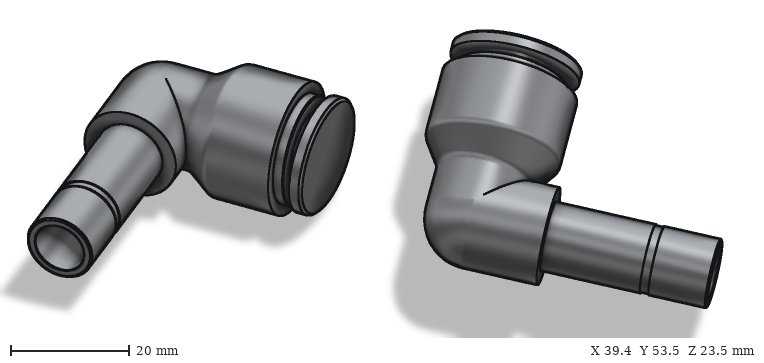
import cadquery as cq
import math


elbow_radius = 17.0 / 2
head_radius = 23.5 / 2
leg_end = 12.9
neck_cone_start = 8.05
neck_cone_end = 13.0
flare_blend_radius = 2.0
head_end = 25.05

stem_radius = 12.0 / 2
stem_end = 53.55 - head_radius
stem_tip_chamfer_depth = 0.3
stem_tip_chamfer_length = 0.2
bore_radius = 9.0 / 2
bore_mouth_chamfer = 0.1
bore_depth = stem_end - leg_end
groove_radius = 11.7 / 2
groove_start = 30.25
groove_width = 1.5

ring_radius = 19.6 / 2
ring_length = 1.9
ring_chamfer = 0.15
ring_end = head_end + ring_length

collar_neck_radius = 14.2 / 2
flange_width = 22.5
flange_height = 19.6
flange_start = 28.7
flange_end = 39.4 - elbow_radius
flange_chamfer = 0.5
collar_fillet_radius = 0.1


def rod_along_x(radius, start, end):
    return cq.Workplane("YZ", origin=(start, 0, 0)).circle(radius).extrude(end - start)


def rod_along_minus_y(radius, start, end):
    return cq.Workplane("XZ", origin=(0, -start, 0)).circle(radius).extrude(end - start)


def make_flared_head():
    """Round branch along +X that flares from the elbow to the socket head, with blended corners."""
    flare_angle = math.atan2(head_radius - elbow_radius, neck_cone_end - neck_cone_start)
    setback = flare_blend_radius * math.tan(flare_angle / 2)
    setback_x = setback * math.cos(flare_angle)
    setback_r = setback * math.sin(flare_angle)
    arc_mid_x = flare_blend_radius * math.sin(flare_angle / 2)
    arc_mid_rise = flare_blend_radius * (1 - math.cos(flare_angle / 2))

    inner_start = neck_cone_start - setback
    outer_end = neck_cone_end + setback
    return (
        cq.Workplane("XY")
        .lineTo(0, elbow_radius)
        .lineTo(inner_start, elbow_radius)
        .threePointArc(
            (inner_start + arc_mid_x, elbow_radius + arc_mid_rise),
            (neck_cone_start + setback_x, elbow_radius + setback_r),
        )
        .lineTo(neck_cone_end - setback_x, head_radius - setback_r)
        .threePointArc(
            (outer_end - arc_mid_x, head_radius - arc_mid_rise),
            (outer_end, head_radius),
        )
        .lineTo(head_end, head_radius)
        .lineTo(head_end, 0)
        .close()
        .revolve(360, (0, 0, 0), (1, 0, 0))
    )


def make_stem():
    stem = (
        rod_along_minus_y(stem_radius, 0, stem_end)
        .faces("<Y")
        .chamfer(stem_tip_chamfer_length, stem_tip_chamfer_depth)
    )
    groove_end = groove_start + groove_width
    groove = rod_along_minus_y(stem_radius, groove_start, groove_end).cut(
        rod_along_minus_y(groove_radius, groove_start, groove_end)
    )
    return stem.cut(groove)


def make_stem_bore():
    """Blind bore from the stem tip, with a small countersink at its mouth."""
    bore = rod_along_minus_y(bore_radius, stem_end - bore_depth, stem_end)
    mouth = cq.Workplane(
        cq.Solid.makeCone(
            bore_radius + bore_mouth_chamfer,
            bore_radius,
            bore_mouth_chamfer,
            cq.Vector(0, -stem_end, 0),
            cq.Vector(0, 1, 0),
        )
    )
    return bore.union(mouth)


def make_housing():
    bend = cq.Workplane("XY").sphere(elbow_radius)
    leg = rod_along_minus_y(elbow_radius, 0, leg_end)
    solid_housing = make_flared_head().union(leg).union(bend).union(make_stem())
    return solid_housing.cut(make_stem_bore())


def make_guide_ring():
    ring = rod_along_x(ring_radius, head_end, ring_end).faces(">X").chamfer(ring_chamfer)
    return ring.cut(rod_along_x(collar_neck_radius, head_end, ring_end))


def make_release_collar():
    flange = (
        cq.Workplane("YZ", origin=(flange_start, 0, 0))
        .ellipse(flange_width / 2, flange_height / 2)
        .extrude(flange_end - flange_start)
        .faces(">X")
        .chamfer(flange_chamfer)
    )
    collar = flange.union(rod_along_x(collar_neck_radius, head_end, flange_start))
    neck_root = cq.selectors.RadiusNthSelector(0)
    return collar.faces("<X[1]").edges(neck_root).fillet(collar_fillet_radius)


housing = make_housing()
guide_ring = make_guide_ring()
release_collar = make_release_collar()

result = cq.Compound.makeCompound([housing.val(), guide_ring.val(), release_collar.val()])